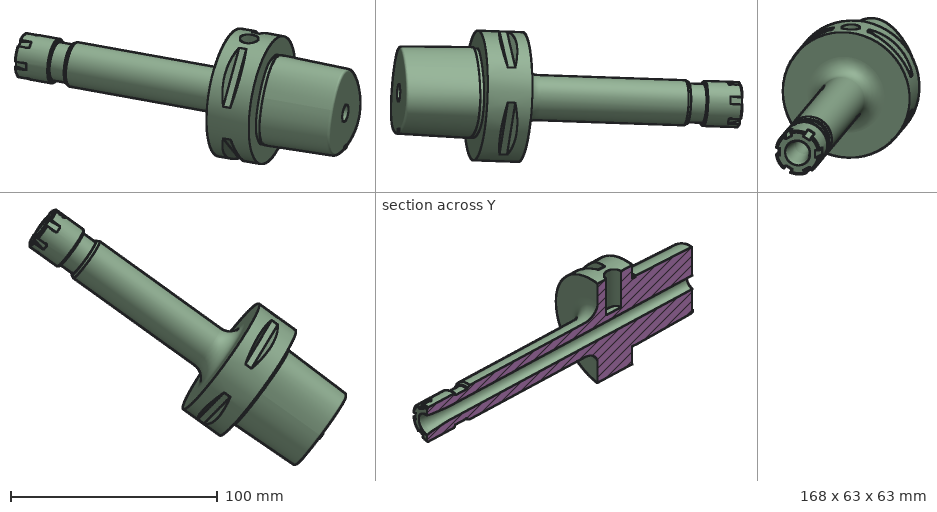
import cadquery as cq
import math

nut_end = 17.8
shaft_start = 25.4
flange_start = 107.7
flange_width = 22.0
flange_end = flange_start + flange_width
shank_end = 167.7
overall_length = 168

shaft_diameter = 22.0
shaft_radius = shaft_diameter / 2
neck_radius = 19.0 / 2
edge_diameter = 20.3
edge_radius = edge_diameter / 2
nut_front_chamfer = 0.7
nut_rear_chamfer = 0.7
nut_rear_radius = shaft_radius - 0.5
shaft_chamfer = 1.5

slot_count = 6
slot_width = 3.7
slot_length = 6.2
slot_front_radius = 8.7
slot_rear_radius = 10.8
slot_corner_radius = 0.5

mouth_radius = 12.5 / 2
rim_radius = 12.1 / 2
collet_radius = 11.0 / 2
bore_radius = 8.4 / 2
rim_depth = 0.3
collet_depth = 2.5
collet_end = 13.5

flange_radius = 63.0 / 2
root_fillet = 8.0
groove_centre = 117.8
groove_count = 4
groove_floor_distance = 27.5
groove_floor_width = 3.7
groove_mouth_width = 7.9
chip_hole_diameter = 9.0
core_radius = 17.3 / 2

lobe_count = 3
lobe_eccentricity = 1.6
shank_root_radius = 22.0
shank_taper = 1 / 40
neck_width = 1.93
neck_step = 0.2
neck_trim_radius = 22.8
collar_width = 1.0
shank_edge_radius = 1.2

mark_span = 3.4
mark_height = 1.0
mark_z = -18.3


def turned_body():
    """Nut, neck, shaft and flange as one revolved profile."""
    profile = (
        cq.Workplane("XY")
        .moveTo(0, 0)
        .lineTo(0, edge_radius)
        .lineTo(nut_front_chamfer, shaft_radius)
        .lineTo(nut_end - nut_rear_chamfer, shaft_radius)
        .lineTo(nut_end, nut_rear_radius)
        .lineTo(nut_end, neck_radius)
        .lineTo(shaft_start, neck_radius)
        .lineTo(shaft_start, edge_radius)
        .lineTo(shaft_start + shaft_chamfer, shaft_radius)
        .lineTo(flange_start - root_fillet, shaft_radius)
        .radiusArc((flange_start, shaft_radius + root_fillet), -root_fillet)
        .lineTo(flange_start, flange_radius)
        .lineTo(flange_end, flange_radius)
        .lineTo(flange_end, 0)
        .close()
    )
    return profile.revolve(360, (0, 0, 0), (1, 0, 0))


def lobed_outline(x, radius):
    """Closed three-lobed curve at place x, with one lobe pointing to +Z."""
    def point(angle):
        y = radius * math.sin(angle) - lobe_eccentricity * math.sin(2 * angle)
        z = radius * math.cos(angle) + lobe_eccentricity * math.cos(2 * angle)
        return cq.Vector(x, y, z)

    pitch = 2 * math.pi / lobe_count
    steps = 24
    edges = []
    for lobe in range(lobe_count):
        start = (lobe - 0.5) * pitch
        points = [point(start + pitch * i / steps) for i in range(steps + 1)]
        edges.append(cq.Edge.makeSpline(points))
    return cq.Wire.assembleEdges(edges)


def lobed_solid(start, end, start_radius, end_radius):
    """Solid between two lobed outlines."""
    outlines = [lobed_outline(start, start_radius), lobed_outline(end, end_radius)]
    return cq.Workplane(obj=cq.Solid.makeLoft(outlines, True))


def shank():
    """Neck with trimmed lobes, straight collar and tapered three-lobed cone."""
    neck_end = flange_end + neck_width
    taper_start = neck_end + collar_width
    neck_outline_radius = shank_root_radius - neck_step
    end_radius = shank_root_radius - shank_taper * (shank_end - taper_start)

    trim = cq.Workplane("YZ", origin=(flange_end, 0, 0)).circle(neck_trim_radius).extrude(neck_width)
    neck = lobed_solid(flange_end, neck_end, neck_outline_radius, neck_outline_radius).intersect(trim)
    collar = lobed_solid(neck_end, taper_start, shank_root_radius, shank_root_radius)
    cone = lobed_solid(taper_start, shank_end, shank_root_radius, end_radius)
    return neck.union(collar).union(cone.faces(">X").edges().fillet(shank_edge_radius))


def around_axis(tool, count, first_angle):
    """Copies of a tool spread evenly about the X axis."""
    copies = cq.Workplane()
    for i in range(count):
        copies = copies.add(tool.rotate((0, 0, 0), (1, 0, 0), first_angle + i * 360 / count))
    return copies.combine()


def nut_slots():
    """Wrench slots, open to the front, whose floors rise towards the rear."""
    slot = (
        cq.Workplane("XZ")
        .polyline([
            (0, slot_front_radius),
            (slot_length, slot_rear_radius),
            (slot_length, flange_radius),
            (0, flange_radius),
        ])
        .close()
        .extrude(slot_width / 2, both=True)
        .edges("|Z and >X")
        .fillet(slot_corner_radius)
    )
    return around_axis(slot, slot_count, 90)


def flange_grooves():
    """Straight gripper grooves with sloping walls cut across the flange rim."""
    half_floor = groove_floor_width / 2
    half_mouth = groove_mouth_width / 2
    groove = (
        cq.Workplane("XZ")
        .polyline([
            (groove_centre - half_floor, groove_floor_distance),
            (groove_centre + half_floor, groove_floor_distance),
            (groove_centre + half_mouth, flange_radius),
            (groove_centre - half_mouth, flange_radius),
        ])
        .close()
        .extrude(flange_radius, both=True)
    )
    return around_axis(groove, groove_count, 45)


def chip_hole():
    """Round hole in the top of the flange rim, down to a floor rounded about the X axis."""
    core = cq.Workplane("YZ", origin=(flange_start, 0, 0)).circle(core_radius).extrude(flange_width)
    return (
        cq.Workplane("XY", origin=(groove_centre, 0, 0))
        .circle(chip_hole_diameter / 2)
        .extrude(flange_radius)
        .cut(core)
    )


def central_bore():
    """Through bore with a countersunk mouth and a conical collet seat."""
    profile = cq.Workplane("XY").polyline([
        (0, 0),
        (0, mouth_radius),
        (rim_depth, rim_radius),
        (collet_depth, collet_radius),
        (collet_end, bore_radius),
        (overall_length, bore_radius),
        (overall_length, 0),
    ]).close()
    return profile.revolve(360, (0, 0, 0), (1, 0, 0))


def rear_mark():
    """Small raised bar on the rear face of the shank."""
    return cq.Workplane("XY").box(
        overall_length - shank_end, mark_span, mark_height, centered=(False, True, True)
    ).translate((shank_end, 0, mark_z))


result = (
    turned_body()
    .union(shank())
    .union(rear_mark())
    .cut(nut_slots())
    .cut(flange_grooves())
    .cut(chip_hole())
    .cut(central_bore())
)